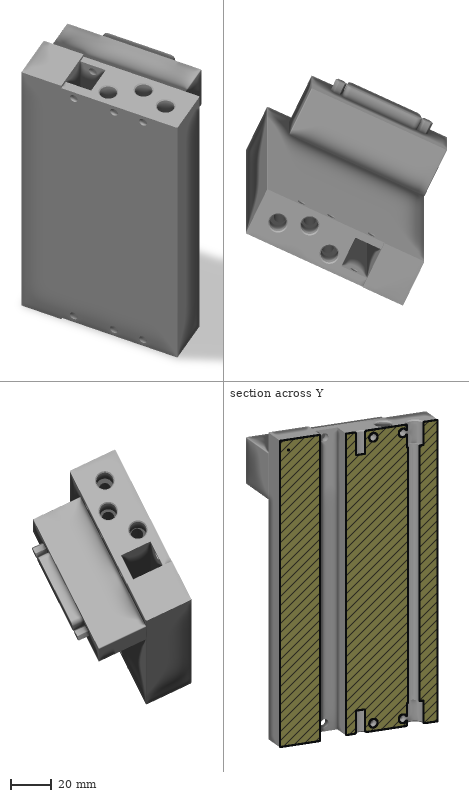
import cadquery as cq
import math

BODY_WIDTH = 86.0
BODY_DEPTH = 25.0
BODY_HEIGHT = 160.5
EDGE_FILLET = 0.5

STRIP_WIDTH = 22.0
TOP_STEP = 1.5
BOTTOM_STEP = 1.0

PASSAGE_WIDTH = 14.0
PASSAGE_FRONT = 5.0
PASSAGE_BACK = 21.2

CROSS_HOLE_DIAMETER = 4.3
CROSS_HOLE_X = (28.9, 51.0, 67.1)
CROSS_HOLE_INSET = 4.2

PORTS = (
    (44.0, 8.0, 45.0, 8.0),
    (59.0, 17.0, 59.0, 17.0),
    (73.8, 11.6, 72.9, 12.0),
)
PORT_DIAMETER = 8.6
PORT_MOUTH_CHAMFER = 0.6
PORT_DEPTH = 12.0
BORE_DIAMETER = 6.0

HOUSING_WIDTH = 74.0
HOUSING_HEIGHT = 24.5
HOUSING_DEPTH = 26.0
HOUSING_TOP_DROP = 10.7

CONNECTOR_DEPTH = 5.9
CONNECTOR_X = HOUSING_WIDTH / 2
CONNECTOR_DROP = 18.95
SHELL_WIDTH = 42.0
SHELL_HEIGHT = 9.8
SHELL_TAPER_DEGREES = 10.0
SHELL_FILLET = 2.5
SCREW_SIDES = 6
SCREW_SPACING = 47.0
SCREW_ACROSS_FLATS = 5.2
SCREW_DROP = 1.6
SCREW_TURN_DEGREES = 6.0

HOUSING_BACK = BODY_DEPTH + HOUSING_DEPTH
CONNECTOR_Z = BODY_HEIGHT - CONNECTOR_DROP
LOW_TOP = BODY_HEIGHT - TOP_STEP


def block(x, y, z, width, depth, height):
    """Box with its lowest corner at (x, y, z)."""
    return cq.Workplane("XY").box(width, depth, height, centered=False).translate((x, y, z))


def make_body():
    """Full-height strip joined to the slightly shorter main block."""
    strip = block(0, 0, 0, STRIP_WIDTH, BODY_DEPTH, BODY_HEIGHT)
    main = block(0, 0, BOTTOM_STEP, BODY_WIDTH, BODY_DEPTH, LOW_TOP - BOTTOM_STEP)
    strip = strip.edges("|Z").fillet(EDGE_FILLET)
    main = main.edges("|Z").fillet(EDGE_FILLET)
    return main.union(strip)


def make_passage():
    """Cutter for the rectangular passage."""
    return block(
        STRIP_WIDTH, PASSAGE_FRONT, 0, PASSAGE_WIDTH, PASSAGE_BACK - PASSAGE_FRONT, BODY_HEIGHT
    )


def make_cross_holes():
    """Cutter for the rows of holes through the depth."""
    hole_heights = (BOTTOM_STEP + CROSS_HOLE_INSET, LOW_TOP - CROSS_HOLE_INSET)
    points = [(x, z) for x in CROSS_HOLE_X for z in hole_heights]
    return cq.Workplane("XZ").pushPoints(points).circle(CROSS_HOLE_DIAMETER / 2).extrude(-BODY_DEPTH)


def cut_ports(body):
    """Cut a chamfered port into both ends and a bore between them, for each port."""
    port_radius = PORT_DIAMETER / 2
    mouth_radius = port_radius + PORT_MOUTH_CHAMFER
    profile = [
        (0, 0),
        (mouth_radius, 0),
        (port_radius, PORT_MOUTH_CHAMFER),
        (port_radius, PORT_DEPTH),
        (0, PORT_DEPTH),
    ]
    lower_port = cq.Workplane("XZ").polyline(profile).close().revolve(360, (0, 0), (0, 1))
    upper_port = lower_port.mirror("XY")
    for port_x, port_y, bore_x, bore_y in PORTS:
        body = body.cut(lower_port.translate((port_x, port_y, BOTTOM_STEP)))
        body = body.cut(upper_port.translate((port_x, port_y, LOW_TOP)))
        bore = cq.Workplane("XY").circle(BORE_DIAMETER / 2).extrude(BODY_HEIGHT)
        body = body.cut(bore.translate((bore_x, bore_y, 0)))
    return body


def make_housing():
    """Connector housing with rounded depth-wise edges."""
    z = BODY_HEIGHT - HOUSING_TOP_DROP - HOUSING_HEIGHT
    housing = block(0, BODY_DEPTH, z, HOUSING_WIDTH, HOUSING_DEPTH, HOUSING_HEIGHT)
    return housing.edges("|Y").fillet(EDGE_FILLET)


def make_connector():
    """Connector shell and its two jack screws."""
    taper = SHELL_HEIGHT * math.tan(math.radians(SHELL_TAPER_DEGREES))
    half_bottom = SHELL_WIDTH / 2
    half_top = half_bottom - taper
    half_height = SHELL_HEIGHT / 2
    outline = [
        (-half_top, half_height),
        (half_top, half_height),
        (half_bottom, -half_height),
        (-half_bottom, -half_height),
    ]
    shell = cq.Workplane("XZ").polyline(outline).close().extrude(-CONNECTOR_DEPTH)
    connector = shell.edges("|Y").fillet(SHELL_FILLET)
    across_corners = SCREW_ACROSS_FLATS / math.cos(math.pi / SCREW_SIDES)
    for side in (-1, 1):
        screw = cq.Workplane("XZ").polygon(SCREW_SIDES, across_corners).extrude(-CONNECTOR_DEPTH)
        screw = screw.rotate((0, 0, 0), (0, 1, 0), SCREW_TURN_DEGREES)
        connector = connector.union(screw.translate((side * SCREW_SPACING / 2, 0, -SCREW_DROP)))
    return connector.translate((CONNECTOR_X, HOUSING_BACK, CONNECTOR_Z))


body = cut_ports(make_body())
body = body.cut(make_passage()).cut(make_cross_holes())
result = body.union(make_housing()).union(make_connector())